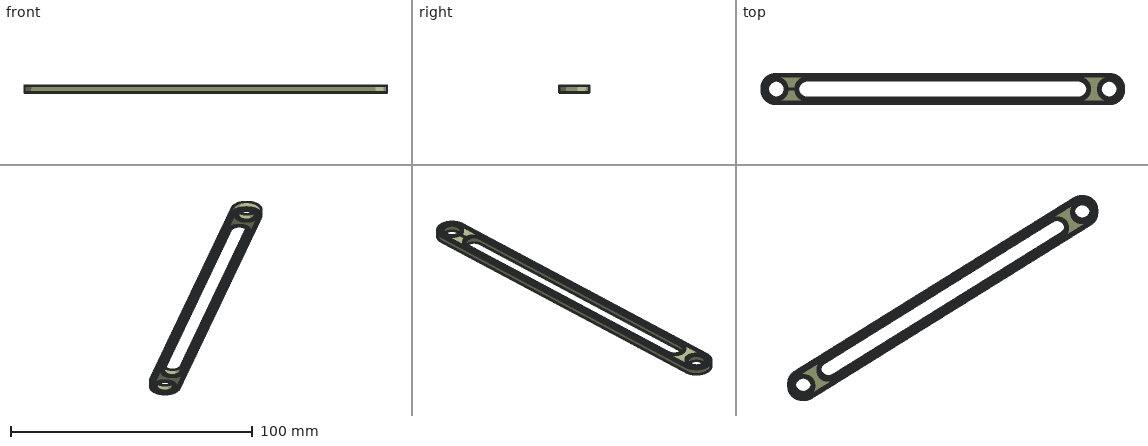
import cadquery as cq

length = 150.0
width = 12.5
thickness = 3.2
collar_diameter = 9.2
slot_length = 119.5
rim_width = 1.08
recess_depth = 0.3
edge_chamfer = 0.3
rib_width = 0.3
rib_height = 0.2

hole_diameter = collar_diameter - 2 * rim_width
slot_width = hole_diameter
hole_offset = (length - width) / 2
web_level = thickness / 2 - recess_depth


def slot_prism(prism_length, prism_width, height):
    """Round-ended prism lying along X, standing on the XY plane."""
    return cq.Workplane("XY").slot2D(prism_length, prism_width).extrude(height)


def end_cylinders(diameter, height):
    """A vertical cylinder at the centre of each rounded end, standing on the XY plane."""
    centres = [(-hole_offset, 0), (hole_offset, 0)]
    return cq.Workplane("XY").pushPoints(centres).circle(diameter / 2).extrude(height)


def link_blank():
    """Flat bar centred on the origin, with both holes, the slot and chamfered edges."""
    bar = slot_prism(length, width, thickness)
    bar = bar.cut(end_cylinders(hole_diameter, thickness))
    bar = bar.cut(slot_prism(slot_length, slot_width, thickness))
    return bar.translate((0, 0, -thickness / 2)).faces("<Z or >Z").chamfer(edge_chamfer)


def web_area(height):
    """Area inside the outer rim, without the collars around the holes and the slot."""
    area = slot_prism(length - 2 * rim_width, width - 2 * rim_width, height)
    area = area.cut(end_cylinders(collar_diameter, height))
    return area.cut(slot_prism(slot_length + 2 * rim_width, slot_width + 2 * rim_width, height))


def web_rib():
    """Low rib along X that joins the left-hand hole collar to the slot collar."""
    rib_length = hole_offset - slot_length / 2
    rib_centre = -(hole_offset + slot_length / 2) / 2
    bar = cq.Workplane("XY").center(rib_centre, 0).rect(rib_length, rib_width).extrude(rib_height)
    return bar.intersect(web_area(rib_height))


top_recess = web_area(recess_depth).translate((0, 0, web_level))
bottom_recess = top_recess.mirror("XY")
link = link_blank().cut(top_recess).cut(bottom_recess)

result = link.union(web_rib().translate((0, 0, web_level)))